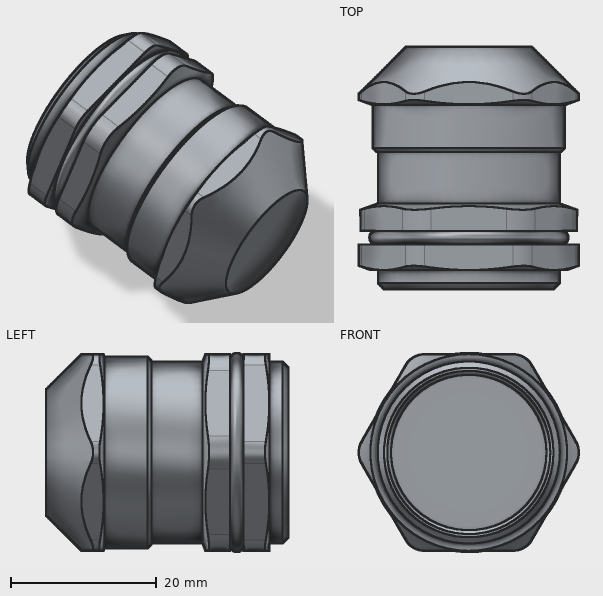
import cadquery as cq
import math

length = 33.35
barrel_diameter = 25.0
collar_diameter = 26.4
ring_diameter = 27.38
across_flats = 27.0
nut_corner_radius = 3.05
middle_corner_radius = 4.5
nut_chamfer_angle = 20.0

front_nut_start = 2.67
front_nut_end = 6.2
middle_nut_start = 8.05
middle_nut_end = 11.8
collar_start = 18.85
cap_start = 25.3

front_chamfer = 0.87
collar_chamfer = 0.57
cap_end_diameter = 17.28

mouth_diameter = 22.4
recess_diameter = 21.35
recess_depth = (mouth_diameter - recess_diameter) / 2


def revolve_profile(points):
    """Revolve a closed (radius, y) outline about the Y axis."""
    return cq.Workplane("XY").polyline(points).close().revolve(360, (0, 0), (0, 1))


def cylinder(start, end, diameter):
    radius = diameter / 2
    return revolve_profile([(0, start), (radius, start), (radius, end), (0, end)])


def hexagon(start, end, corner_radius):
    """Hexagonal prism along Y with flats facing +Z and -Z and rounded corners."""
    across_corners = across_flats / math.cos(math.pi / 6)
    return (
        cq.Workplane("XZ", origin=(0, start, 0))
        .polygon(6, across_corners)
        .extrude(start - end)
        .edges("|Y")
        .fillet(corner_radius)
    )


def chamfered_blank(face, back, face_diameter):
    """Round blank with a conical rim rising from face; back may lie on either side."""
    face_radius = face_diameter / 2
    outer_radius = across_flats
    drop = (outer_radius - face_radius) * math.tan(math.radians(nut_chamfer_angle))
    direction = math.copysign(1, back - face)
    rim = face + direction * drop
    end = back + direction * drop
    return revolve_profile(
        [(0, face), (face_radius, face), (outer_radius, rim), (outer_radius, end), (0, end)]
    )


def make_barrel():
    barrel = cylinder(0, cap_start, barrel_diameter).faces("<Y").chamfer(front_chamfer)
    collar = cylinder(collar_start, cap_start, collar_diameter).faces("<Y").chamfer(collar_chamfer)
    return barrel.union(collar)


def make_front_nut():
    nut = hexagon(front_nut_start, front_nut_end, nut_corner_radius)
    return nut.intersect(chamfered_blank(front_nut_start, front_nut_end, across_flats))


def make_middle_nut():
    nut = hexagon(middle_nut_start, middle_nut_end, middle_corner_radius)
    return nut.intersect(chamfered_blank(middle_nut_end, middle_nut_start, barrel_diameter))


def make_sealing_ring():
    """Ring with a half-round rim filling the gap between the two nuts."""
    rim_radius = (middle_nut_start - front_nut_end) / 2
    rim_centre = ring_diameter / 2 - rim_radius
    return (
        cq.Workplane("XY")
        .moveTo(0, front_nut_end)
        .lineTo(rim_centre, front_nut_end)
        .threePointArc(
            (ring_diameter / 2, front_nut_end + rim_radius),
            (rim_centre, middle_nut_start),
        )
        .lineTo(0, middle_nut_start)
        .close()
        .revolve(360, (0, 0), (0, 1))
    )


def make_cap():
    end_radius = cap_end_diameter / 2
    cone_base_radius = end_radius + length - cap_start
    cone = revolve_profile(
        [(0, cap_start), (cone_base_radius, cap_start), (end_radius, length), (0, length)]
    )
    cap = hexagon(cap_start, length, nut_corner_radius)
    return cap.intersect(chamfered_blank(cap_start, length, collar_diameter)).intersect(cone)


def make_recess():
    """Shallow conical recess in the front face."""
    return revolve_profile(
        [(0, 0), (mouth_diameter / 2, 0), (recess_diameter / 2, recess_depth), (0, recess_depth)]
    )


result = (
    make_barrel()
    .union(make_front_nut())
    .union(make_sealing_ring())
    .union(make_middle_nut())
    .union(make_cap())
    .cut(make_recess())
)